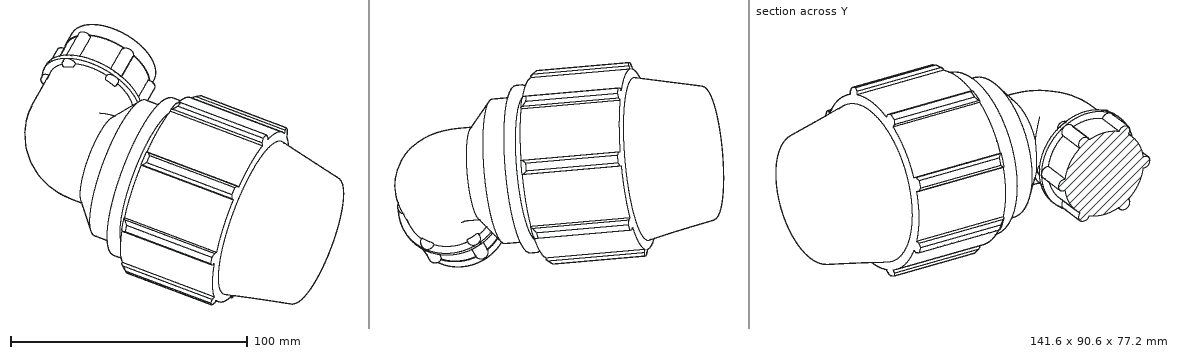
import cadquery as cq
import math


pipe_radius = 39.38 / 2
bend_center = 12.0

cone_start = 17.6
cone_end = 27.2
body_radius = 61.5 / 2
collar_start = 37.2
collar_end = 41.3
collar_radius = 71.34 / 2
collar_fillet = 0.9

nut_start = 45.05
nut_end = 88.0
nut_radius = 38.4
nose_start = 89.0
nose_start_radius = 34.6
nose_end = 118.77
nose_end_radius = 28.3
nose_fillet = 1.6

nut_rib_count = 8
nut_rib_width = 6.0
nut_rib_crest_width = 3.2
nut_rib_crest_radius = 41.12
nut_rib_shoulder_radius = 39.65
nut_rib_root_radius = 36.0
nut_rib_start_radius = 39.1
nut_rib_ramp = 2.45

branch_end = 52.0
cap_radius = 40.0 / 2
cap_rim_start = 45.5
cap_fillet = 0.8
flange_start = 29.4
flange_end = 31.3
flange_radius = 22.87

cap_rib_count = 6
cap_rib_radius = 2.87
cap_rib_circle = 19.95
cap_rib_start = 27.3
cap_rib_end = 45.1
cap_rib_fillet = 0.75


def cylinder_x(radius, start, end):
    """Cylinder on the X axis between two X positions."""
    return cq.Workplane("YZ", origin=(start, 0, 0)).circle(radius).extrude(end - start)


def cylinder_y(radius, start, end):
    """Cylinder on the Y axis between two Y positions."""
    return cq.Workplane("XZ", origin=(0, start, 0)).circle(radius).extrude(start - end)


def revolve_x(points):
    """Solid of revolution about X from (x, radius) points."""
    profile = cq.Workplane("XY").polyline(points).close()
    return profile.revolve(360, (0, 0, 0), (1, 0, 0))


def make_bend():
    """Quarter turn of the pipe section that lies outside the bend axis."""
    half_chord = math.sqrt(pipe_radius**2 - bend_center**2)
    section = (
        cq.Workplane("XZ", origin=(0, bend_center, 0))
        .moveTo(bend_center, half_chord)
        .threePointArc((-pipe_radius, 0), (bend_center, -half_chord))
        .close()
    )
    return section.revolve(90, (bend_center, 0), (bend_center, 1))


def make_main_body():
    """Short pipe, cone and cylinder leading into the nut, with a collar."""
    body = revolve_x([
        (bend_center, 0),
        (bend_center, pipe_radius),
        (cone_start, pipe_radius),
        (cone_end, body_radius),
        (nut_start, body_radius),
        (nut_start, 0),
    ])
    collar = cylinder_x(collar_radius, collar_start, collar_end).edges().fillet(collar_fillet)
    return body.union(collar)


def make_nut_rib():
    """One straight rib on the +Y side, with a bevelled crest."""
    half_width = nut_rib_width / 2
    half_crest = nut_rib_crest_width / 2
    return (
        cq.Workplane("YZ", origin=(nut_start, 0, 0))
        .polyline([
            (nut_rib_root_radius, -half_width),
            (nut_rib_shoulder_radius, -half_width),
            (nut_rib_crest_radius, -half_crest),
            (nut_rib_crest_radius, half_crest),
            (nut_rib_shoulder_radius, half_width),
            (nut_rib_root_radius, half_width),
        ])
        .close()
        .extrude(nose_end - nut_start)
    )


def make_nut_envelope():
    """Turned outline of the nut: sloped rib starts, rib crests, end cone and nose."""
    end_slope = (nose_start - nut_end) / (nut_radius - nose_start_radius)
    crest_end = nut_end - end_slope * (nut_rib_crest_radius - nut_radius)
    envelope = revolve_x([
        (nut_start, 0),
        (nut_start, nut_rib_start_radius),
        (nut_start + nut_rib_ramp, nut_rib_crest_radius),
        (crest_end, nut_rib_crest_radius),
        (nose_start, nose_start_radius),
        (nose_end, nose_end_radius),
        (nose_end, 0),
    ])
    return envelope.faces(">X").edges().fillet(nose_fillet)


def make_nut():
    """Compression nut: a ribbed bar trimmed to the turned outline."""
    nut = cylinder_x(nut_radius, nut_start, nose_end)
    rib = make_nut_rib()
    rib_pitch = 360 / nut_rib_count
    for index in range(nut_rib_count):
        angle = rib_pitch * index + rib_pitch / 2
        nut = nut.union(rib.rotate((0, 0, 0), (1, 0, 0), angle))
    return nut.intersect(make_nut_envelope())


def make_branch():
    """Branch pipe with the rimmed cap, its flange and round grip ribs."""
    branch = cylinder_y(pipe_radius, bend_center, cap_rim_start)
    rim = cylinder_y(cap_radius, cap_rim_start, branch_end).faces(">Y").edges().fillet(cap_fillet)
    branch = branch.union(rim).union(cylinder_y(flange_radius, flange_start, flange_end))
    rib = cylinder_y(cap_rib_radius, cap_rib_start, cap_rib_end).edges().fillet(cap_rib_fillet)
    rib = rib.translate((-cap_rib_circle, 0, 0))
    for index in range(cap_rib_count):
        angle = index * 360 / cap_rib_count
        branch = branch.union(rib.rotate((0, 0, 0), (0, 1, 0), angle))
    return branch


result = make_bend().union(make_branch()).union(make_main_body()).union(make_nut())